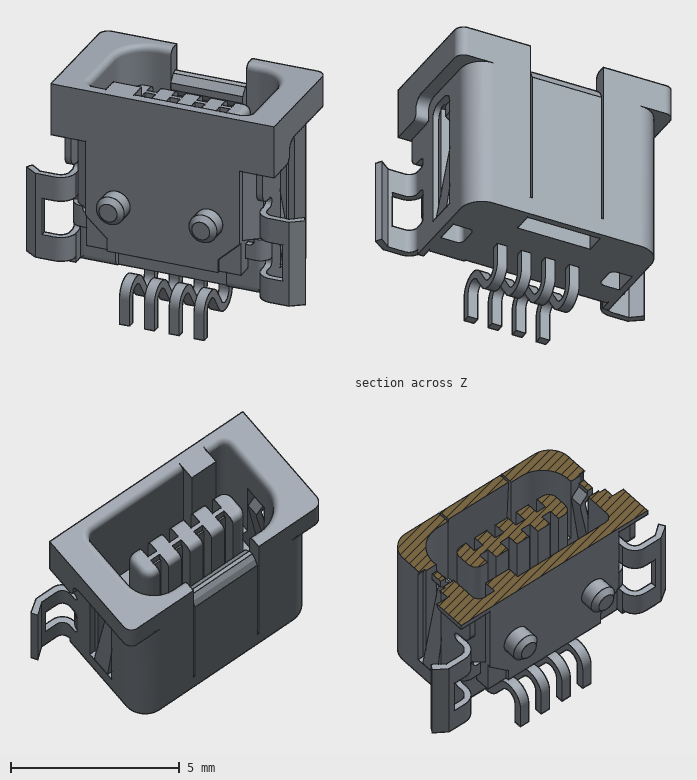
import cadquery as cq
import math

EPS = 0.045

HEIGHT = 6.0
DEPTH = 3.9
SHEET = 0.2
SHELL_HALF = 3.19
SHELL_BACK_RADIUS = 0.71
BODY_HALF = SHELL_HALF - SHEET
CORNER_FRONT = 0.64

FLANGE_HALF = 3.6
FLANGE_BOTTOM = HEIGHT - 1.0
FLANGE_FRONT_BOTTOM = HEIGHT - 1.69
FLANGE_STEP_Y = 1.13
FLANGE_CORNER_RADIUS = 0.3
STEP_OUTER_RADIUS = 0.36
STEP_INNER_RADIUS = 0.18

PAD_HALF = 2.48
PAD_BOTTOM = 0.82
PAD_RECESS_DEPTH = 0.1
PAD_RECESS_TOP = 1.87
PAD_RECESS_INNER_TOP = 1.22
BEVEL_FRONT_Y = 0.22
BEVEL_BACK_Y = 0.61
BEVEL_BOTTOM = 1.92

CORNER_INNER_X = 1.78
CORNER_RADIUS = 0.2

CAVITY_FLOOR = 2.0
CAVITY_HALF = 2.59
CAVITY_FRONT = 0.45
CAVITY_BACK = 3.46
CAVITY_BACK_RADIUS = 0.98
CAVITY_FRONT_RADIUS = 0.25
RIM_RADIUS = 0.2
KEY_LEFT = -1.95
KEY_RIGHT = -1.04
KEY_BACK = 0.855

POST_HALF = 1.87
POST_FRONT = 1.45
POST_BACK = 2.46
POST_TOP = HEIGHT - 0.71
POST_CORNER_RADIUS = 0.3
POST_TOP_RADIUS = 0.2
PITCH = 0.8
CONTACT_WIDTH = 0.32
CONTACTS = [(i - 1.5) * PITCH for i in range(4)]
GROOVE_BACK_Y = 2.07
GROOVE_FRONT_Y = 1.87
GROOVE_STEP = 0.05
GROOVE_STEP_DEPTH = 0.3

LEAD_THICKNESS = 0.26
LEAD_INNER_RADIUS = 0.29
LEAD_RADIUS = LEAD_INNER_RADIUS + LEAD_THICKNESS / 2
LEAD_TOP_Y = 1.935
LEAD_END_Y = 0.07
LEAD_BEND_Z = -0.65
LEAD_BOTTOM = -1.49

PEG_X = 1.49
PEG_Z = 2.41
PEG_RADIUS = 0.45
PEG_LENGTH = 0.6
PEG_CHAMFER = 0.16

SHELL_FRONT = 0.44
SHELL_WING_FRONT = 0.09
SHELL_WING_RADIUS = 0.36
NOTCH_BACK = 0.79
NOTCH_RADIUS = 0.15
NOTCH_TOP = 3.28

EAR_BOTTOM = 0.17
EAR_TOP = 2.95
EAR_WINDOW_BOTTOM = 0.96
EAR_WINDOW_TOP = 2.16
EAR_WINDOW_OUTER = 3.88
EAR_FRONT = -0.03
EAR_BEND_RADIUS = 0.49
EAR_FOLD_X = 4.09
EAR_TIP_X = 4.5
EAR_TIP_INNER_X = 4.38
EAR_TIP_FRONT = 0.26
EAR_TIP_BACK = 0.45

TAB_BOTTOM = 1.22
TAB_RADIUS = 0.36
TAB_NOTCH_WIDTH = 0.28
TAB_NOTCH_HEIGHT = 0.225
TAB_NOTCH_RADIUS = 0.16

SLOT_Y = 1.95
SLOT_WIDTH = 1.07
SLOT_BOTTOM = 0.6
SLOT_TOP = 4.62
SLOT_RADIUS = 0.36
CHANNEL_WIDTH = 0.8
CHANNEL_INNER_X = 2.295
CHANNEL_RADIUS = 0.18
TONGUE_ROOT_WIDTH = 0.66
TONGUE_TIP_WIDTH = 0.405
TONGUE_PEAK_Z = 3.915
TONGUE_PEAK_X = 2.46
TONGUE_TIP_X = 2.74
TONGUE_TIP_BEND_Z = 4.23

LATCH_HALF = 1.16
LATCH_GAP_HALF = 1.215
LATCH_GAP_FRONT = 3.06
LATCH_NECK_Y = 3.51
LATCH_NECK_Z = 4.52
LATCH_PEAK_Y = 3.3
LATCH_PEAK_BOTTOM = 4.77
LATCH_PEAK_TOP = 4.995
LATCH_SHOULDER_Y = 3.51
LATCH_SHOULDER_Z = 5.22
LATCH_CREST_Y = 3.65
LATCH_TOP = 5.265
LATCH_BACK_Y = 3.8
LATCH_BACK_Z = 5.11
LATCH_BACK_BOTTOM = 4.905


def box(x0, x1, y0, y1, z0, z1):
    return cq.Workplane("XY").box(x1 - x0, y1 - y0, z1 - z0, centered=False).translate((x0, y0, z0))


def both_sides(right):
    return right.union(right.mirror("YZ"))


def plan(z0, z1):
    """Horizontal sketch plane at z0 with the height to extrude."""
    return cq.Workplane("XY").workplane(offset=z0), z1 - z0


def side_profile(x0):
    """Sketch plane at x0 with local axes Y and Z."""
    return cq.Workplane("YZ").workplane(offset=x0)


def make_flange():
    block = box(-FLANGE_HALF, FLANGE_HALF, 0, DEPTH, FLANGE_FRONT_BOTTOM, HEIGHT)
    block = block.edges("|Z and >Y").fillet(FLANGE_CORNER_RADIUS)
    r, q = STEP_OUTER_RADIUS, STEP_INNER_RADIUS
    undercut = (
        side_profile(-FLANGE_HALF)
        .moveTo(DEPTH, FLANGE_BOTTOM)
        .lineTo(FLANGE_STEP_Y + r, FLANGE_BOTTOM)
        .radiusArc((FLANGE_STEP_Y, FLANGE_BOTTOM - r), -r)
        .lineTo(FLANGE_STEP_Y, FLANGE_FRONT_BOTTOM + q)
        .radiusArc((FLANGE_STEP_Y - q, FLANGE_FRONT_BOTTOM), q)
        .lineTo(DEPTH, FLANGE_FRONT_BOTTOM)
        .close()
        .extrude(2 * FLANGE_HALF)
    )
    return block.cut(undercut)


def make_body():
    back_start = CORNER_FRONT + CORNER_RADIUS
    body = box(-BODY_HALF, BODY_HALF, back_start, DEPTH - SHEET, 0, FLANGE_BOTTOM + EPS)
    body = body.edges("|Z and >Y").fillet(SHELL_BACK_RADIUS - SHEET)
    pad = box(-PAD_HALF, PAD_HALF, 0, back_start, PAD_BOTTOM, HEIGHT)
    corner = box(CORNER_INNER_X, BODY_HALF, CORNER_FRONT, back_start + EPS, 0, BEVEL_BOTTOM)
    corner = corner.edges("(|Z and >X and <Y) or (|X and <Y and <Z)").fillet(CORNER_RADIUS)
    sketch, height = plan(BEVEL_BOTTOM, FLANGE_FRONT_BOTTOM + EPS)
    bevel = (
        sketch.moveTo(PAD_HALF - EPS, BEVEL_FRONT_Y)
        .lineTo(PAD_HALF, BEVEL_FRONT_Y)
        .lineTo(BODY_HALF, BEVEL_BACK_Y)
        .lineTo(BODY_HALF, back_start)
        .lineTo(PAD_HALF - EPS, back_start)
        .close()
        .extrude(height)
    )
    recess_outline = [
        (CORNER_INNER_X, PAD_BOTTOM),
        (PAD_HALF, PAD_BOTTOM),
        (PAD_HALF, PAD_RECESS_TOP),
        (CORNER_INNER_X, PAD_RECESS_INNER_TOP),
    ]
    recess = cq.Workplane("XZ").polyline(recess_outline).close().extrude(-PAD_RECESS_DEPTH)
    return body.union(pad.cut(both_sides(recess))).union(both_sides(corner.union(bevel)))


def make_shell():
    outer = box(-SHELL_HALF, SHELL_HALF, SHELL_WING_FRONT, DEPTH, 0, FLANGE_BOTTOM + EPS)
    outer = outer.edges("|Z and >Y").fillet(SHELL_BACK_RADIUS)
    inner = box(-BODY_HALF, BODY_HALF, 0, DEPTH - SHEET, 0, HEIGHT)
    inner = inner.edges("|Z and >Y").fillet(SHELL_BACK_RADIUS - SHEET)
    shell = outer.cut(inner)

    def side_cut(y0, y1, z0, z1):
        return box(-SHELL_HALF, SHELL_HALF, y0, y1, z0, z1)

    shell = shell.cut(side_cut(0, SHELL_FRONT, 0, NOTCH_TOP))
    shell = shell.cut(side_cut(0, FLANGE_STEP_Y, FLANGE_FRONT_BOTTOM + EPS, HEIGHT))
    r = SHELL_WING_RADIUS
    wing_corner = side_cut(0, SHELL_WING_FRONT + r, 0, NOTCH_TOP + r).cut(
        side_profile(-SHELL_HALF)
        .center(SHELL_WING_FRONT + r, NOTCH_TOP + r)
        .circle(r)
        .extrude(2 * SHELL_HALF)
    )
    shell = shell.cut(wing_corner)
    for z0, z1 in ((EAR_TOP, NOTCH_TOP), (EAR_WINDOW_BOTTOM, EAR_WINDOW_TOP)):
        notch = side_cut(0, NOTCH_BACK, z0, z1)
        shell = shell.cut(notch.edges("|X and >Y").fillet(NOTCH_RADIUS))
    slot = side_cut(SLOT_Y - SLOT_WIDTH / 2, SLOT_Y + SLOT_WIDTH / 2, SLOT_BOTTOM, SLOT_TOP)
    shell = shell.cut(slot.edges("|X and >Z").fillet(SLOT_RADIUS))
    return shell.union(both_sides(make_ear())).union(both_sides(make_tab()))


def make_ear():
    r = EAR_BEND_RADIUS
    bend_y = EAR_FRONT + r
    flat_x = BODY_HALF + r
    fold = math.atan2(EAR_TIP_FRONT - EAR_FRONT, EAR_TIP_X - EAR_FOLD_X)
    fold_back_x = EAR_FOLD_X - SHEET * math.tan(fold / 2)
    sketch, height = plan(EAR_BOTTOM, EAR_TOP)
    ear = (
        sketch.moveTo(BODY_HALF, bend_y + EPS)
        .lineTo(BODY_HALF, bend_y)
        .radiusArc((flat_x, EAR_FRONT), -r)
        .lineTo(EAR_FOLD_X, EAR_FRONT)
        .lineTo(EAR_TIP_X, EAR_TIP_FRONT)
        .lineTo(EAR_TIP_INNER_X, EAR_TIP_BACK)
        .lineTo(fold_back_x, EAR_FRONT + SHEET)
        .lineTo(flat_x, EAR_FRONT + SHEET)
        .radiusArc((SHELL_HALF, bend_y), r - SHEET)
        .lineTo(SHELL_HALF, bend_y + EPS)
        .close()
        .extrude(height)
    )
    window = box(0, EAR_WINDOW_OUTER, EAR_FRONT, DEPTH, EAR_WINDOW_BOTTOM, EAR_WINDOW_TOP)
    return ear.cut(window)


def make_tab():
    r = TAB_RADIUS
    flat_x = SHELL_HALF - r
    sketch, height = plan(TAB_BOTTOM, BEVEL_BOTTOM)
    tab = (
        sketch.moveTo(SHELL_HALF, SHELL_FRONT + r + EPS)
        .lineTo(SHELL_HALF, SHELL_FRONT + r)
        .radiusArc((flat_x, SHELL_FRONT), r)
        .lineTo(PAD_HALF - EPS, SHELL_FRONT)
        .lineTo(PAD_HALF - EPS, SHELL_FRONT + SHEET)
        .lineTo(flat_x, SHELL_FRONT + SHEET)
        .radiusArc((BODY_HALF, SHELL_FRONT + r), SHEET - r)
        .lineTo(BODY_HALF, SHELL_FRONT + r + EPS)
        .close()
        .extrude(height)
    )
    notch = box(
        PAD_HALF, PAD_HALF + TAB_NOTCH_WIDTH,
        SHELL_FRONT, SHELL_FRONT + SHEET,
        BEVEL_BOTTOM - TAB_NOTCH_HEIGHT, BEVEL_BOTTOM,
    )
    return tab.cut(notch.edges("|Y and >X and <Z").fillet(TAB_NOTCH_RADIUS))


def make_cavity():
    """Socket opening, cut before the post and key are added."""
    cavity = box(-CAVITY_HALF, CAVITY_HALF, CAVITY_FRONT, CAVITY_BACK, CAVITY_FLOOR, HEIGHT)
    cavity = cavity.edges("|Z and >Y").fillet(CAVITY_BACK_RADIUS)
    return cavity.edges("|Z and <Y").fillet(CAVITY_FRONT_RADIUS)


def make_post():
    post = box(-POST_HALF, POST_HALF, POST_FRONT, POST_BACK, CAVITY_FLOOR - EPS, POST_TOP)
    post = post.edges("|Z").fillet(POST_CORNER_RADIUS).faces(">Z").edges().fillet(POST_TOP_RADIUS)
    step_z = POST_TOP - GROOVE_STEP_DEPTH
    for x in CONTACTS:
        x0 = x - CONTACT_WIDTH / 2
        x1 = x + CONTACT_WIDTH / 2
        post = post.cut(box(x0, x1, GROOVE_BACK_Y, POST_BACK, CAVITY_FLOOR, POST_TOP))
        post = post.cut(box(x0, x1, GROOVE_BACK_Y - GROOVE_STEP, POST_BACK, step_z, POST_TOP))
        post = post.cut(box(x0, x1, POST_FRONT, GROOVE_FRONT_Y - GROOVE_STEP, CAVITY_FLOOR, POST_TOP))
        post = post.cut(box(x0, x1, POST_FRONT, GROOVE_FRONT_Y, step_z, POST_TOP))
    return post


def make_channel():
    """Clearance for a side tongue, open to the cavity and to the bottom."""
    channel = box(
        CHANNEL_INNER_X, BODY_HALF,
        SLOT_Y - CHANNEL_WIDTH / 2, SLOT_Y + CHANNEL_WIDTH / 2,
        0, SLOT_TOP,
    )
    return channel.edges("|Z and <X").fillet(CHANNEL_RADIUS)


def make_tongue():
    root_z = SLOT_BOTTOM - EPS
    points = [
        (BODY_HALF, root_z),
        (TONGUE_PEAK_X, TONGUE_PEAK_Z),
        (TONGUE_PEAK_X, TONGUE_PEAK_Z + SHEET / 2),
        (TONGUE_TIP_X, TONGUE_TIP_BEND_Z + SHEET / 2),
        (TONGUE_TIP_X, SLOT_TOP),
        (TONGUE_TIP_X + SHEET, SLOT_TOP),
        (TONGUE_TIP_X + SHEET, TONGUE_TIP_BEND_Z),
        (TONGUE_PEAK_X + SHEET, TONGUE_PEAK_Z + SHEET / 2),
        (TONGUE_PEAK_X + SHEET, TONGUE_PEAK_Z),
        (SHELL_HALF, root_z),
    ]
    strip = cq.Workplane("XZ", origin=(0, SLOT_Y, 0)).polyline(points).close()
    strip = strip.extrude(TONGUE_ROOT_WIDTH / 2, both=True)
    root, tip = TONGUE_ROOT_WIDTH / 2, TONGUE_TIP_WIDTH / 2
    taper = [
        (SLOT_Y - root, root_z),
        (SLOT_Y + root, root_z),
        (SLOT_Y + tip, TONGUE_PEAK_Z),
        (SLOT_Y + tip, SLOT_TOP),
        (SLOT_Y - tip, SLOT_TOP),
        (SLOT_Y - tip, TONGUE_PEAK_Z),
    ]
    return strip.intersect(side_profile(0).polyline(taper).close().extrude(SHELL_HALF))


def make_latch():
    root_z = SLOT_BOTTOM - EPS
    points = [
        (DEPTH - SHEET, root_z),
        (LATCH_NECK_Y, LATCH_NECK_Z),
        (LATCH_PEAK_Y, LATCH_PEAK_BOTTOM),
        (LATCH_PEAK_Y, LATCH_PEAK_TOP),
        (LATCH_SHOULDER_Y, LATCH_SHOULDER_Z),
        (LATCH_CREST_Y, LATCH_TOP),
        (LATCH_BACK_Y, LATCH_BACK_Z),
        (DEPTH, LATCH_BACK_BOTTOM),
        (DEPTH, root_z),
    ]
    return side_profile(-LATCH_HALF).polyline(points).close().extrude(2 * LATCH_HALF)


def make_peg():
    peg = cq.Workplane("XZ", origin=(PEG_X, EPS, PEG_Z)).circle(PEG_RADIUS).extrude(PEG_LENGTH + EPS)
    return peg.faces("<Y").chamfer(PEG_CHAMFER)


def make_lead(x):
    """S-bent strip: down, around the lower bend, over the upper bend, down."""
    r = LEAD_RADIUS
    lower_y = LEAD_TOP_Y - r
    upper_y = LEAD_END_Y + r
    tilt = math.acos(2 * r / (lower_y - upper_y))
    dy, dz = r * math.cos(tilt), r * math.sin(tilt)
    mid_angle = (math.pi + tilt) / 2
    my, mz = r * math.cos(mid_angle), r * math.sin(mid_angle)
    path = (
        cq.Workplane("YZ", origin=(x, 0, 0))
        .moveTo(LEAD_TOP_Y, EPS)
        .lineTo(LEAD_TOP_Y, LEAD_BEND_Z)
        .threePointArc((lower_y - my, LEAD_BEND_Z - mz), (lower_y - dy, LEAD_BEND_Z - dz))
        .lineTo(upper_y + dy, LEAD_BEND_Z + dz)
        .threePointArc((upper_y + my, LEAD_BEND_Z + mz), (LEAD_END_Y, LEAD_BEND_Z))
        .lineTo(LEAD_END_Y, LEAD_BOTTOM)
    )
    section = cq.Workplane("XY", origin=(x, LEAD_TOP_Y, EPS)).rect(CONTACT_WIDTH, LEAD_THICKNESS)
    return section.sweep(path)


housing = make_flange().union(make_body()).cut(make_cavity())
housing = housing.faces(">Z").wires(cq.selectors.LengthNthSelector(0)).fillet(RIM_RADIUS)
housing = housing.union(make_post())
housing = housing.union(box(KEY_LEFT, KEY_RIGHT, EPS, KEY_BACK, CAVITY_FLOOR - EPS, HEIGHT))
housing = housing.cut(both_sides(make_channel()))
housing = housing.cut(box(-LATCH_GAP_HALF, LATCH_GAP_HALF, LATCH_GAP_FRONT, DEPTH, 0, HEIGHT))

latch_window = box(-LATCH_GAP_HALF, LATCH_GAP_HALF, DEPTH - SHEET, DEPTH, SLOT_BOTTOM, HEIGHT)
shell = make_shell().cut(latch_window)

result = housing.union(shell).union(both_sides(make_tongue())).union(make_latch())
result = result.union(both_sides(make_peg()))
for lead_x in CONTACTS:
    result = result.union(make_lead(lead_x))